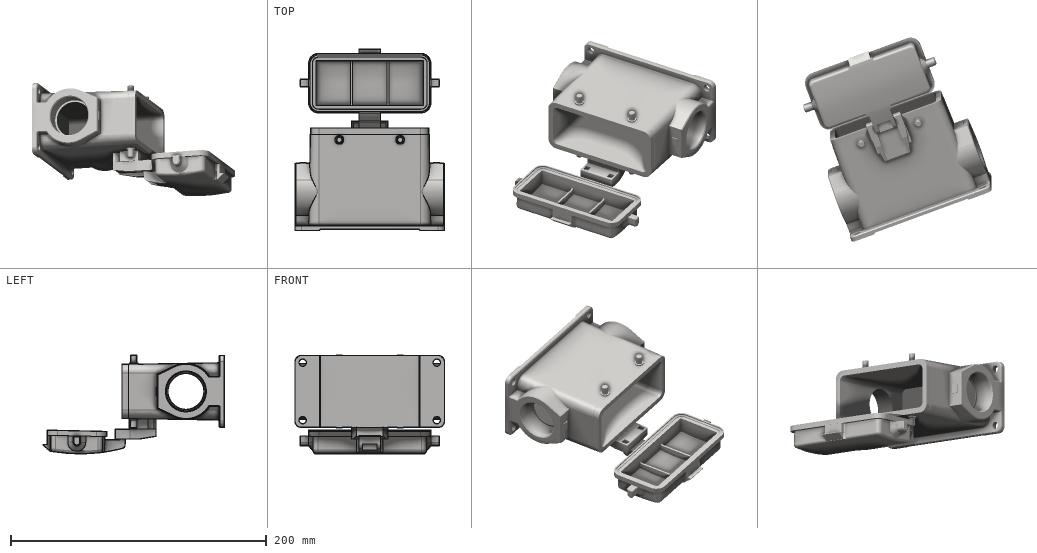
import cadquery as cq
import math


flange_width = 117.0
flange_height = 56.4
flange_thickness = 4.2
flange_corner_radius = 5.0
flange_root_radius = 0.8
mount_hole_diameter = 5.6
mount_hole_spacing_x = 104.8
mount_hole_spacing_z = 44.8
relief_width = 78.8
relief_depth = 1.0
relief_slope_run = 0.8

selection_margin = 0.1

shell_base_width = 95.6
shell_base_height = 45.0
shell_draft_inset = 1.35
shell_corner_radius = 8.0
shell_length = 80.2
collar_length = 5.2
collar_width = 92.6
collar_height = 42.6
collar_corner_radius = 6.8
shell_wall = 4.2
cavity_corner_radius = 4.0

entry_y = 30.1
entry_radius = 21.9
entry_tangent_dy = 9.6
entry_flat_y = 52.8
neck_half_height = 11.8
end_edge_chamfer = 0.7
bore_diameter = 30.5
bore_depth = 15.6
bore_chamfer = 0.75
inner_hole_diameter = 28.0
entry_pad_x = 52.2
entry_pad_width = 5.0
entry_pad_height = 7.0
entry_pad_thickness = 0.5

pin_x = 23.75
pin_y = 70.9
pin_diameter = 4.9
pin_base_diameter = 6.8
pin_base_z = 22.4
pin_top_z = 28.6
pin_edge_chamfer = 0.4

bracket_width = 28.4
bracket_front_width = 21.0
bracket_front_y = 53.3
bracket_back_y = 85.5
bracket_taper_end_y = 73.7
bracket_slope_end_y = 66.4
bracket_top_z = -29.4
bracket_bottom_z = -37.3
bracket_front_bottom_z = -35.1
bracket_edge_radius = 1.0
column_undercut_start_y = 55.0
column_undercut_end_y = 59.7
column_neck_width = 12.0
column_back_y = 74.4
pocket_outer_half_width = 12.8
pocket_front_y = 79.0
pocket_back_y = 84.0
pocket_depth = 3.0

cover_y = 115.2
cover_z = -30.7
cover_tilt = 1.3
rim_width = 95.6
rim_length = 46.6
rim_thickness = 4.1
rim_corner_radius = 8.0
seat_steps = [(1.1, 1.0), (2.9, 1.5)]
cover_pocket_inset = 5.8
cover_pocket_corner_radius = 1.0
cover_body_width = 88.4
cover_body_length = 40.4
cover_body_corner_radius = 3.6
cover_bottom_fillet = 2.2
cover_depth = 18.18
cover_crown_radius = 127.0
cover_floor_thickness = 2.6
rib_x = 14.2
rib_thickness = 1.4
rib_top_z = -9.8
rib_end_radius = 1.8
pocket_floor_fillet = 0.6

arm_width = 17.0
arm_end_y = -37.9
arm_top_z = -6.4
arm_end_radius = 3.0
knuckle_length = 4.5
slot_top_z = -34.5
slot_clearance = 1.0
notch_width = 11.0
notch_depth = 7.5
notch_top_z = -9.6
hook_base_y = 23.2
hook_tip_y = 26.3
hook_top_z = -11.3
hook_tip_height = 0.6
hook_heel_y = 21.0
hook_heel_z = -16.3

pad_block_width = 21.0
pad_block_radius = 2.0
arm_pad_y = -21.9
hook_pad_y = 21.0

lug_reach = 54.7
lug_radius = 2.9
lug_center_z = -9.0
lug_end_chamfer = 0.7
lug_base_radius = 7.0


def xz_plane(y):
    """Plane at the given Y with local X = X, local Y = Z and normal -Y."""
    return cq.Workplane("XZ", origin=(0, y, 0))


def box_between(x, y, z):
    """Box from (low, high) pairs along X, Y and Z."""
    size = (x[1] - x[0], y[1] - y[0], z[1] - z[0])
    return cq.Workplane("XY").box(*size, centered=False).translate((x[0], y[0], z[0]))


def rounded_slab(width, length, top_z, thickness, radius):
    """Slab hanging below top_z with rounded vertical edges."""
    slab = cq.Workplane("XY", origin=(0, 0, top_z)).rect(width, length).extrude(-thickness)
    return slab.edges("|Z").fillet(radius)


def mirrored_pair(solid):
    """The solid together with its mirror image across X = 0."""
    return solid.union(solid.mirror("YZ"))


def make_flange():
    flange = xz_plane(0).rect(flange_width, flange_height).extrude(-flange_thickness)
    flange = flange.edges("|Y").fillet(flange_corner_radius)
    flange = flange.faces(">Y").edges().chamfer(end_edge_chamfer)
    holes = (
        xz_plane(0)
        .rect(mount_hole_spacing_x, mount_hole_spacing_z, forConstruction=True)
        .vertices()
        .circle(mount_hole_diameter / 2)
        .extrude(-flange_thickness)
    )
    return flange.cut(holes)


def make_relief():
    outer = relief_width / 2
    inner = outer - relief_slope_run
    profile = [(-outer, 0), (outer, 0), (inner, relief_depth), (-inner, relief_depth)]
    return cq.Workplane("XY").polyline(profile).close().extrude(flange_height / 2, both=True)


def make_shell():
    draft_angle = math.degrees(math.atan(shell_draft_inset / shell_length))
    body = (
        xz_plane(0)
        .sketch()
        .rect(shell_base_width, shell_base_height)
        .vertices()
        .fillet(shell_corner_radius)
        .finalize()
        .extrude(-(shell_length - collar_length), taper=draft_angle)
    )
    collar = xz_plane(shell_length).rect(collar_width, collar_height).extrude(collar_length)
    return body.union(collar.edges("|Y").fillet(collar_corner_radius))


def make_cavity():
    width = collar_width - 2 * shell_wall
    height = collar_height - 2 * shell_wall
    cavity = xz_plane(shell_length).rect(width, height).extrude(shell_length - flange_thickness)
    return cavity.edges("|Y").fillet(cavity_corner_radius)


def make_entry():
    """Solid cable-entry boss at the +X end."""
    tangent_z = math.sqrt(entry_radius**2 - entry_tangent_dy**2)
    slope = entry_tangent_dy / tangent_z
    flat_z = tangent_z - slope * (entry_flat_y - entry_y - entry_tangent_dy)
    neck_y = entry_y - math.sqrt(entry_radius**2 - neck_half_height**2)
    root_y = flange_thickness + flange_root_radius
    root_z = neck_half_height + flange_root_radius
    tangent_y = entry_y + entry_tangent_dy
    inner_x = shell_base_width / 2 - shell_corner_radius
    boss = (
        cq.Workplane("YZ", origin=(inner_x, 0, 0))
        .moveTo(0, -root_z)
        .lineTo(flange_thickness, -root_z)
        .radiusArc((root_y, -neck_half_height), flange_root_radius)
        .lineTo(neck_y, -neck_half_height)
        .threePointArc((entry_y, -entry_radius), (tangent_y, -tangent_z))
        .lineTo(entry_flat_y, -flat_z)
        .lineTo(entry_flat_y, flat_z)
        .lineTo(tangent_y, tangent_z)
        .threePointArc((entry_y, entry_radius), (neck_y, neck_half_height))
        .lineTo(root_y, neck_half_height)
        .radiusArc((flange_thickness, root_z), flange_root_radius)
        .lineTo(0, root_z)
        .close()
        .extrude(flange_width / 2 - inner_x)
    )
    boss = boss.faces(">X").edges("not(<Y)").chamfer(end_edge_chamfer)
    pad = box_between(
        (entry_pad_x - entry_pad_width / 2, entry_pad_x + entry_pad_width / 2),
        (entry_flat_y - entry_pad_thickness, entry_flat_y + entry_pad_thickness),
        (-entry_pad_height / 2, entry_pad_height / 2),
    )
    return boss.union(pad)


def make_entry_bore():
    """Stepped and chamfered bore of the +X cable entry."""
    mouth = cq.Workplane("YZ", origin=(flange_width / 2, entry_y, 0))
    bore = mouth.circle(bore_diameter / 2).extrude(-bore_depth)
    inner_hole = mouth.circle(inner_hole_diameter / 2).extrude(-flange_width / 2)
    chamfer = mouth.circle(bore_diameter / 2 + bore_chamfer).extrude(-bore_chamfer, taper=45)
    return bore.union(inner_hole).union(chamfer)


def make_pin(side):
    """Locking pin at +X; side is 1 above the housing and -1 below it."""
    start_z = shell_base_height / 2 - shell_wall / 2
    foot = cq.Workplane("XY", origin=(pin_x, pin_y, start_z))
    pin = foot.circle(pin_diameter / 2).extrude(pin_top_z - start_z)
    pin = pin.faces(">Z").chamfer(pin_edge_chamfer)
    pin = pin.union(foot.circle(pin_base_diameter / 2).extrude(pin_base_z - start_z))
    return pin if side > 0 else pin.mirror("XY")


def make_housing():
    housing = make_flange().union(make_shell())
    reach_x = shell_base_width / 2 + selection_margin
    reach_z = shell_base_height / 2 + selection_margin
    root = cq.selectors.BoxSelector(
        (-reach_x, flange_thickness - selection_margin, -reach_z),
        (reach_x, flange_thickness + selection_margin, reach_z),
        boundingbox=True,
    )
    housing = housing.edges(root).fillet(flange_root_radius)
    housing = housing.union(mirrored_pair(make_entry()))
    housing = housing.cut(make_cavity()).cut(mirrored_pair(make_entry_bore())).cut(make_relief())
    for side in (1, -1):
        housing = housing.union(mirrored_pair(make_pin(side)))
    return housing


def make_bracket():
    half = bracket_width / 2
    front_half = bracket_front_width / 2
    plan = [
        (front_half, bracket_front_y),
        (half, bracket_taper_end_y),
        (half, bracket_back_y),
        (-half, bracket_back_y),
        (-half, bracket_taper_end_y),
        (-front_half, bracket_front_y),
    ]
    plate_height = bracket_top_z - bracket_bottom_z
    plate = cq.Workplane("XY", origin=(0, 0, bracket_bottom_z)).polyline(plan).close().extrude(plate_height)
    plate = plate.faces(">Y").edges("|X").fillet(bracket_edge_radius)
    underside = [
        (bracket_front_y, bracket_bottom_z),
        (bracket_slope_end_y, bracket_bottom_z),
        (bracket_front_y, bracket_front_bottom_z),
    ]
    plate = plate.cut(cq.Workplane("YZ").polyline(underside).close().extrude(half, both=True))

    neck_half = column_neck_width / 2
    column_plan = [
        (front_half, bracket_front_y),
        (front_half, column_undercut_start_y),
        (neck_half, column_undercut_end_y),
        (half, column_undercut_end_y),
        (half, column_back_y),
        (-half, column_back_y),
        (-half, column_undercut_end_y),
        (-neck_half, column_undercut_end_y),
        (-front_half, column_undercut_start_y),
        (-front_half, bracket_front_y),
    ]
    column_top_z = -(shell_base_height - shell_wall) / 2
    column = (
        cq.Workplane("XY", origin=(0, 0, bracket_top_z))
        .polyline(column_plan)
        .close()
        .extrude(column_top_z - bracket_top_z)
    )
    slot = box_between(
        (-arm_width / 2, arm_width / 2),
        (bracket_front_y, cover_y + arm_end_y + slot_clearance),
        (bracket_bottom_z, slot_top_z),
    )
    pocket = box_between(
        (arm_width / 2, pocket_outer_half_width),
        (pocket_front_y, pocket_back_y),
        (bracket_top_z - pocket_depth, bracket_top_z),
    )
    return plate.cut(slot).cut(mirrored_pair(pocket)).union(column)


def crown_cylinder(radius):
    """Long cylinder along X whose underside forms the crowned cover bottom."""
    center_z = cover_crown_radius - cover_depth
    return cq.Workplane("YZ", origin=(0, 0, center_z)).circle(radius).extrude(rim_width, both=True)


def make_cover_body():
    body = rounded_slab(
        cover_body_width, cover_body_length, 0, 2 * cover_depth, cover_body_corner_radius
    )
    body = body.intersect(crown_cylinder(cover_crown_radius))
    body = body.faces("<Z").edges().fillet(cover_bottom_fillet)
    rim = rounded_slab(rim_width, rim_length, 0, rim_thickness, rim_corner_radius)
    return body.union(rim)


def make_rib():
    """Rib across the pocket at +X, with its top curving up at both ends."""
    half_length = rim_length / 2 - cover_pocket_inset
    shoulder_y = half_length - rib_end_radius
    shoulder_z = rib_top_z + rib_end_radius
    cove = rib_end_radius * math.sqrt(0.5)
    profile = (
        cq.Workplane("YZ", origin=(rib_x, 0, 0))
        .moveTo(-half_length, -cover_depth)
        .lineTo(-half_length, shoulder_z)
        .threePointArc((-shoulder_y - cove, shoulder_z - cove), (-shoulder_y, rib_top_z))
        .lineTo(shoulder_y, rib_top_z)
        .threePointArc((shoulder_y + cove, shoulder_z - cove), (half_length, shoulder_z))
        .lineTo(half_length, -cover_depth)
        .close()
    )
    return profile.extrude(rib_thickness / 2, both=True)


def make_cover_pocket():
    """Stepped gasket seat and crowned pocket, with two ribs left standing."""
    pocket = rounded_slab(
        rim_width - 2 * cover_pocket_inset,
        rim_length - 2 * cover_pocket_inset,
        0,
        cover_depth,
        cover_pocket_corner_radius,
    )
    pocket = pocket.intersect(crown_cylinder(cover_crown_radius - cover_floor_thickness))
    pocket = pocket.faces("<Z").edges().fillet(pocket_floor_fillet)
    pocket = pocket.cut(mirrored_pair(make_rib()))
    for inset, depth in seat_steps:
        step = rounded_slab(
            rim_width - 2 * inset, rim_length - 2 * inset, 0, depth, rim_corner_radius - inset
        )
        pocket = pocket.union(step)
    return pocket


def make_arm():
    """Hinge arm with its knuckle and end notch."""
    half = arm_width / 2
    front_y = -cover_body_length / 2
    arm = box_between((-half, half), (arm_end_y, front_y), (-cover_depth, arm_top_z))
    arm = arm.intersect(crown_cylinder(cover_crown_radius))
    arm = arm.faces("<Y").edges("<Z").fillet(arm_end_radius)
    knuckle = box_between(
        (-half, half), (arm_end_y, arm_end_y + knuckle_length), (arm_top_z, slot_top_z - cover_z)
    )
    notch = box_between(
        (-notch_width / 2, notch_width / 2),
        (arm_end_y, arm_end_y + notch_depth),
        (-cover_depth, notch_top_z),
    )
    return arm.union(knuckle).cut(notch)


def make_wall_pads():
    """Block through the cover that stands out as a rounded pad on each long wall."""
    block = box_between(
        (-pad_block_width / 2, pad_block_width / 2), (arm_pad_y, hook_pad_y), (-cover_depth, 0)
    )
    block = block.edges("|Z").fillet(pad_block_radius)
    return block.intersect(crown_cylinder(cover_crown_radius))


def make_hook():
    inner_y = cover_body_length / 2 - cover_body_corner_radius
    profile = [
        (inner_y, -rim_thickness),
        (hook_base_y, -rim_thickness),
        (hook_base_y, hook_top_z),
        (hook_tip_y, hook_top_z),
        (hook_tip_y, hook_top_z - hook_tip_height),
        (hook_heel_y, hook_heel_z),
        (inner_y, hook_heel_z),
    ]
    return cq.Workplane("YZ").polyline(profile).close().extrude(arm_width / 2, both=True)


def lug_section(x, radius):
    """U-shaped outline at the given X: round below and straight up to the rim."""
    return (
        cq.Workplane("YZ", origin=(x, 0, 0))
        .moveTo(-radius, -rim_thickness)
        .lineTo(-radius, lug_center_z)
        .threePointArc((0, lug_center_z - radius), (radius, lug_center_z))
        .lineTo(radius, -rim_thickness)
        .close()
    )


def make_lug():
    """Side lug at +X with the flared base that carries it."""
    wall_x = cover_body_width / 2
    rim_x = rim_width / 2
    lug = lug_section(wall_x, lug_radius).extrude(lug_reach - wall_x)
    lug = lug.faces(">X").chamfer(lug_end_chamfer)
    wide = lug_section(wall_x, lug_base_radius).wires().val()
    narrow = lug_section(rim_x, lug_radius).wires().val()
    base = cq.Workplane(cq.Solid.makeLoft([wide, narrow], True))
    return lug.union(base)


def make_cover():
    cover = make_cover_body().union(make_wall_pads())
    cover = cover.union(make_arm()).union(make_hook()).union(mirrored_pair(make_lug()))
    cover = cover.cut(make_cover_pocket())
    return cover.rotate((0, 0, 0), (1, 0, 0), cover_tilt).translate((0, cover_y, cover_z))


result = make_housing().union(make_bracket()).union(make_cover())